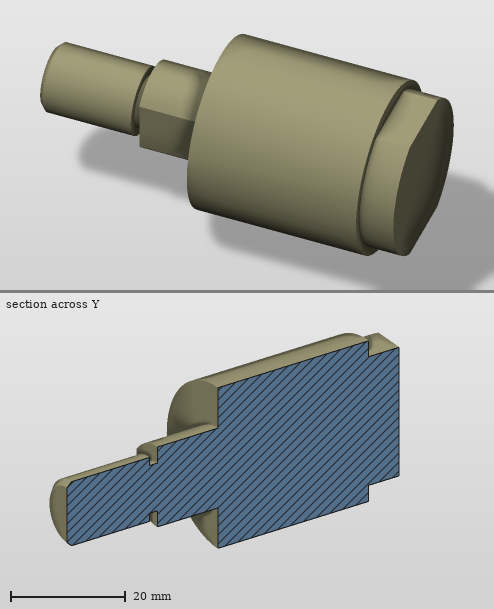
import cadquery as cq

total_length = 69.85
cap_length = 6.35
body_length = 31.8
collar_length = 12.7
neck_length = 1.6
stud_length = total_length - cap_length - body_length - collar_length - neck_length

stud_diameter = 12.7
neck_diameter = 9.5
collar_diameter = 15.85
body_diameter = 31.8
cap_diameter = 28.6

collar_across_flats = stud_diameter
cap_across_flats = 25.4
tip_chamfer = 1.0


def cylinder(start, length, diameter):
    """Solid cylinder along +X beginning at x = start."""
    return cq.Workplane("YZ", origin=(start, 0, 0)).circle(diameter / 2).extrude(length)


def flatted_cylinder(start, length, diameter, width_y, width_z):
    """Cylinder trimmed to a centred rectangular Y by Z envelope."""
    envelope = cq.Workplane("YZ", origin=(start, 0, 0)).rect(width_y, width_z).extrude(length)
    return cylinder(start, length, diameter).intersect(envelope)


neck_start = stud_length
collar_start = neck_start + neck_length
body_start = collar_start + collar_length
cap_start = body_start + body_length

stud = cylinder(0, stud_length, stud_diameter).faces("<X").chamfer(tip_chamfer)

neck = cylinder(neck_start, neck_length, neck_diameter)

collar = flatted_cylinder(
    collar_start, collar_length, collar_diameter, collar_across_flats, collar_diameter
)

body = cylinder(body_start, body_length, body_diameter)

cap = flatted_cylinder(cap_start, cap_length, cap_diameter, cap_diameter, cap_across_flats)

result = stud.union(neck).union(collar).union(body).union(cap)